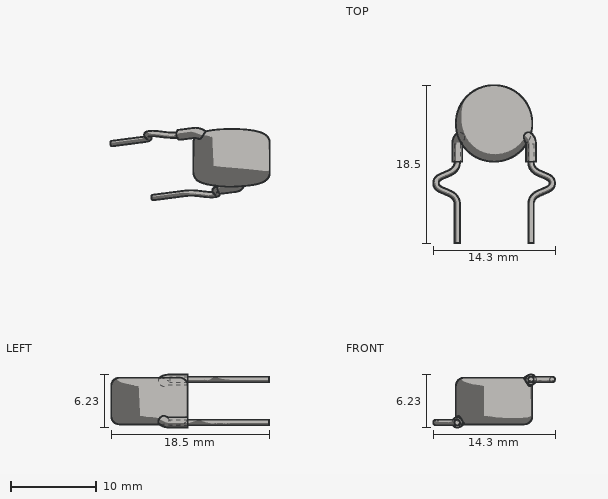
import cadquery as cq
import math


overall_width = 14.28
overall_length = 18.5
overall_height = 6.23

disc_diameter = 9.0
disc_height = 5.5
disc_edge_radius = 1.0

sleeve_diameter = 1.2
sleeve_length = 2.13
sleeve_bend_radius = 0.9
sleeve_tilt = 32.0
sleeve_embed = 0.74

wire_diameter = 0.67
kink_reach = 2.5
kink_half_length = 2.5
kink_root_pull = 1.75
kink_crest_pull = 1.2

lead_x = overall_width / 2 - kink_reach - wire_diameter / 2
lead_z = (overall_height - sleeve_diameter) / 2
sleeve_end_y = -disc_diameter / 2
bend_start_y = sleeve_end_y + sleeve_length
kink_crest_y = sleeve_end_y - kink_half_length
kink_end_y = kink_crest_y - kink_half_length
wire_tip_y = disc_diameter / 2 - overall_length


def make_disc():
    """Round disc with both rims rounded over."""
    disc = cq.Workplane("XY", origin=(0, 0, -disc_height / 2)).circle(disc_diameter / 2).extrude(disc_height)
    return disc.faces("|Z").edges().fillet(disc_edge_radius)


def make_sleeve():
    """Sleeve at +X, +Z: a straight run along Y, then a quarter bend into the disc."""
    tilt = math.radians(sleeve_tilt)
    bend_plane = cq.Plane(
        origin=(lead_x, bend_start_y, lead_z),
        xDir=(-math.cos(tilt), 0, -math.sin(tilt)),
        normal=(math.sin(tilt), 0, -math.cos(tilt)),
    )
    path = (
        cq.Workplane(bend_plane)
        .moveTo(0, -sleeve_length)
        .lineTo(0, 0)
        .tangentArcPoint((sleeve_bend_radius, sleeve_bend_radius), relative=False)
        .lineTo(sleeve_bend_radius + sleeve_embed, sleeve_bend_radius)
    )
    sleeve_end = cq.Workplane("XZ", origin=(lead_x, sleeve_end_y, lead_z))
    return sleeve_end.circle(sleeve_diameter / 2).sweep(path)


def make_wire():
    """Wire at +X, +Z: straight in the sleeve, a smooth kink outwards, then a straight tail."""
    crest_x = lead_x + kink_reach
    path = (
        cq.Workplane("XY", origin=(0, 0, lead_z))
        .moveTo(lead_x, bend_start_y)
        .lineTo(lead_x, sleeve_end_y)
        .bezier(
            [
                (lead_x, sleeve_end_y - kink_root_pull),
                (crest_x, kink_crest_y + kink_crest_pull),
                (crest_x, kink_crest_y),
            ],
            includeCurrent=True,
        )
        .bezier(
            [
                (crest_x, kink_crest_y - kink_crest_pull),
                (lead_x, kink_end_y + kink_root_pull),
                (lead_x, kink_end_y),
            ],
            includeCurrent=True,
        )
        .lineTo(lead_x, wire_tip_y)
    )
    wire_start = cq.Workplane("XZ", origin=(lead_x, bend_start_y, lead_z))
    return wire_start.circle(wire_diameter / 2).sweep(path)


coating = make_disc()
wires = []
for lead_turn in (0, 180):
    sleeve = make_sleeve().rotate((0, 0, 0), (0, 1, 0), lead_turn)
    wire = make_wire().rotate((0, 0, 0), (0, 1, 0), lead_turn)
    coating = coating.union(sleeve).cut(wire)
    wires.append(wire.val())

result = cq.Compound.makeCompound([coating.val(), *wires])